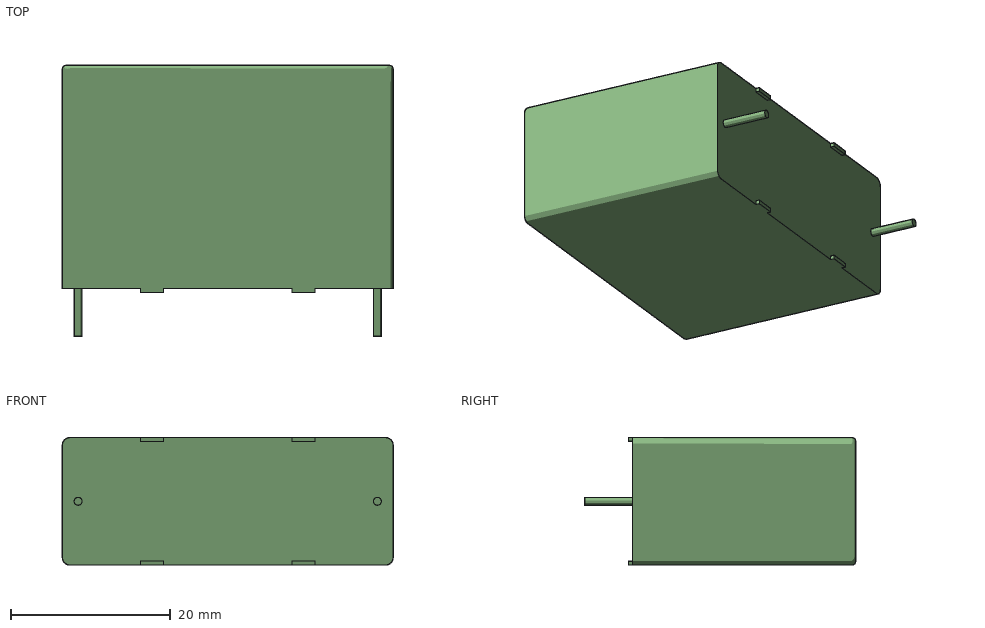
import cadquery as cq

case_width = 41.5
case_height = 16.0
overall_depth = 34.0
pin_length = 5.98
case_depth = overall_depth - pin_length
side_edge_radius = 1.0
back_edge_radius = 0.5

pin_diameter = 1.0
pin_spacing = 37.5

foot_width = 2.9
foot_thickness = 0.5
foot_length = 0.5
foot_spacing = 19.0


def make_case():
    """Box with rounded long edges and a rounded back face outline."""
    case = cq.Workplane("XY").box(case_width, case_depth, case_height, centered=(True, False, True))
    case = case.edges("|Y").fillet(side_edge_radius)
    return case.faces(">Y").edges().fillet(back_edge_radius)


def make_pins():
    """Two pins at mid height, pointing toward -Y."""
    return (
        cq.Workplane("XZ")
        .pushPoints([(-pin_spacing / 2, 0), (pin_spacing / 2, 0)])
        .circle(pin_diameter / 2)
        .extrude(pin_length)
    )


def make_feet():
    """Four feet, flush with the top and bottom of the case."""
    row_spacing = case_height - foot_thickness
    return (
        cq.Workplane("XZ")
        .rarray(foot_spacing, row_spacing, 2, 2)
        .rect(foot_width, foot_thickness)
        .extrude(foot_length)
    )


result = make_case().union(make_pins()).union(make_feet())